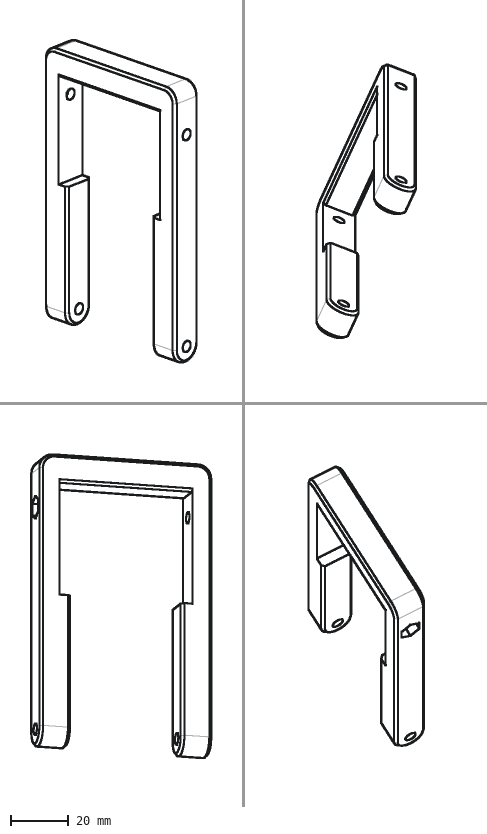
import cadquery as cq

width = 62.0
depth = 12.0
height = 103.0

leg_thickness = 11.0
bar_thickness = 10.0
bar_underside_z = height - bar_thickness
corner_radius = 5.0
edge_chamfer = 1.0
leg_end_radius = depth / 2

window_wall = 7.0
window_width = width - 2 * window_wall
ledge_z = height - 50.0

hole_diameter = 4.0
lower_hole_z = leg_end_radius
upper_hole_z = height - 18.0
nut_corner_diameter = 8.1
nut_depth = 4.0


def centered_block(size_x, bottom_z, top_z):
    """Block through the full depth, centered in X and Y."""
    block = cq.Workplane("XY").box(size_x, depth, top_z - bottom_z, centered=(True, True, False))
    return block.translate((0, 0, bottom_z))


def side_plane(z):
    """Sketch plane on the -X face with its normal pointing toward +X."""
    return cq.Workplane(cq.Plane(origin=(-width / 2, 0, z), xDir=(0, 1, 0), normal=(1, 0, 0)))


def frame_blank():
    """U-shaped frame with rounded top corners, round leg ends and chamfered edges."""
    blank = centered_block(width, 0, height).edges("|Y and >Z").fillet(corner_radius)
    blank = blank.cut(centered_block(width - 2 * leg_thickness, 0, bar_underside_z))

    side_profile = (
        side_plane(0)
        .moveTo(-depth / 2, height)
        .lineTo(-depth / 2, leg_end_radius)
        .threePointArc((0, 0), (depth / 2, leg_end_radius))
        .lineTo(depth / 2, height)
        .close()
        .extrude(width)
    )
    blank = blank.intersect(side_profile)

    return blank.faces("<Y or >Y").edges("|Z").chamfer(edge_chamfer)


def window():
    """Wide window whose top flares at front and back to chamfer the crossbar underside."""
    flare_bottom_z = bar_underside_z - edge_chamfer
    flare_top_z = bar_underside_z + edge_chamfer
    flare_profile = [
        (-depth / 2, flare_bottom_z),
        (-depth / 2, flare_top_z),
        (-depth / 2 + edge_chamfer, bar_underside_z),
        (depth / 2 - edge_chamfer, bar_underside_z),
        (depth / 2, flare_top_z),
        (depth / 2, flare_bottom_z),
    ]
    flare = side_plane(0).polyline(flare_profile).close().extrude(window_width)
    flare = flare.translate((window_wall, 0, 0))
    return centered_block(window_width, ledge_z, bar_underside_z).union(flare)


def cross_hole(z):
    return side_plane(z).circle(hole_diameter / 2).extrude(width)


def nut_pocket():
    """Hexagonal pocket in the -X face with corners pointing up and down."""
    hexagon = side_plane(upper_hole_z).transformed(rotate=(0, 0, 90))
    return hexagon.polygon(6, nut_corner_diameter).extrude(nut_depth)


result = frame_blank().cut(window())
for hole_z in (lower_hole_z, upper_hole_z):
    result = result.cut(cross_hole(hole_z))
result = result.cut(nut_pocket())